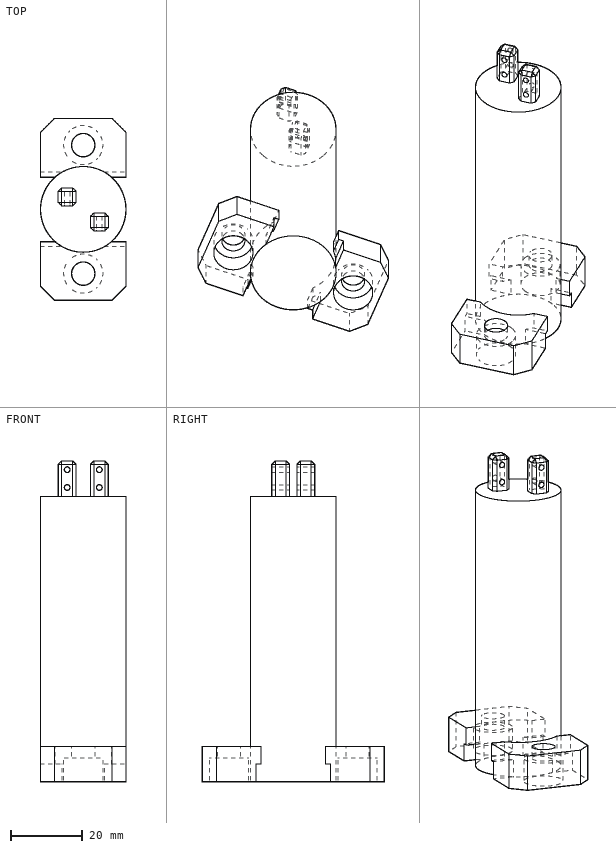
import cadquery as cq

TOTAL_HEIGHT = 90.0
TOTAL_DEPTH = 51.0
BODY_DIAMETER = 24.0

PIN_LENGTH = 10.0
PIN_WIDTH = 5.0
PIN_CHAMFER = 1.0
PIN_OFFSET_X = 4.5
PIN_OFFSET_Y = 3.5
PIN_HOLE_DIAMETER = 1.5
PIN_HOLE_DEPTHS = (PIN_LENGTH / 4, PIN_LENGTH * 3 / 4)

BLOCK_HEIGHT = 10.0
BLOCK_CHAMFER = 4.0
BLOCK_INNER_Y = 9.0
STEP_DEPTH = 1.4
STEP_HEIGHT = BLOCK_HEIGHT / 2
BOLT_HOLE_DIAMETER = 6.5
BOLT_HOLE_Y = 18.0
RECESS_DIAMETER = 11.0
RECESS_HEIGHT = BLOCK_HEIGHT * 2 / 3

BODY_HEIGHT = TOTAL_HEIGHT - PIN_LENGTH


def make_cylinder():
    """Plain round envelope of the body, standing on Z = 0."""
    return cq.Workplane("XY").circle(BODY_DIAMETER / 2).extrude(BODY_HEIGHT)


def make_pin(x, y):
    """Square terminal with chamfered edges and two cross holes along Y."""
    pin = (
        cq.Workplane("XY", origin=(x, y, BODY_HEIGHT))
        .rect(PIN_WIDTH, PIN_WIDTH)
        .extrude(PIN_LENGTH)
        .edges("|Z or >Z")
        .chamfer(PIN_CHAMFER)
    )
    hole_points = [(x, TOTAL_HEIGHT - depth) for depth in PIN_HOLE_DEPTHS]
    holes = (
        cq.Workplane("XZ", origin=(0, y, 0))
        .pushPoints(hole_points)
        .circle(PIN_HOLE_DIAMETER / 2)
        .extrude(PIN_WIDTH, both=True)
    )
    return pin.cut(holes)


def make_body():
    """Round body with its two integral pins on a diagonal."""
    body = make_cylinder()
    for side in (-1, 1):
        body = body.union(make_pin(side * PIN_OFFSET_X, -side * PIN_OFFSET_Y))
    return body


def make_block(angle):
    """Mounting block for the +Y side, turned about Z by angle in degrees."""
    depth = TOTAL_DEPTH / 2 - BLOCK_INNER_Y
    block = (
        cq.Workplane("XY", origin=(0, BLOCK_INNER_Y, 0))
        .rect(BODY_DIAMETER, 2 * depth)
        .extrude(BLOCK_HEIGHT)
        .edges("|Z and >Y")
        .chamfer(BLOCK_CHAMFER)
    )
    for inner_y, height in ((BLOCK_INNER_Y, BLOCK_HEIGHT), (BLOCK_INNER_Y + STEP_DEPTH, STEP_HEIGHT)):
        clearance = cq.Workplane("XY").rect(BODY_DIAMETER, 2 * inner_y).extrude(height)
        block = block.cut(clearance)
    bolt_hole = (
        cq.Workplane("XY", origin=(0, BOLT_HOLE_Y, 0))
        .circle(BOLT_HOLE_DIAMETER / 2)
        .extrude(BLOCK_HEIGHT)
    )
    head_recess = (
        cq.Workplane("XY", origin=(0, BOLT_HOLE_Y, 0))
        .circle(RECESS_DIAMETER / 2)
        .extrude(RECESS_HEIGHT)
    )
    block = block.cut(bolt_hole).cut(head_recess)
    return block.cut(make_cylinder()).rotate((0, 0, 0), (0, 0, 1), angle)


body = make_body()
blocks = [make_block(angle) for angle in (0, 180)]

result = cq.Compound.makeCompound([body.val(), *[block.val() for block in blocks]])